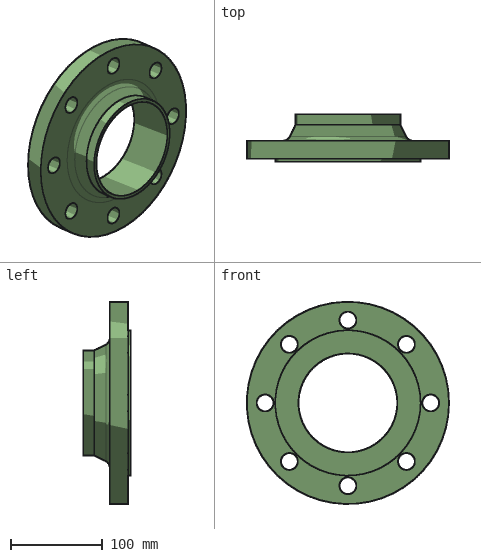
import cadquery as cq

flange_diameter = 220.0
flange_thickness = 20.0
overall_length = 52.0

face_diameter = 158.0
face_height = 3.0

pipe_diameter = 114.5
pipe_end_length = 11.9
hub_diameter = 131.0
hub_fillet = 8.0
bore_diameter = 107.1

bolt_count = 8
bolt_circle_diameter = 180.0
bolt_hole_diameter = 18.0

flange_front = face_height
flange_back = flange_front + flange_thickness
cone_end = overall_length - pipe_end_length


def make_body():
    """Revolve the flange, raised face and tapered neck about Y."""
    profile = (
        cq.Workplane("XY")
        .moveTo(0, 0)
        .lineTo(face_diameter / 2, 0)
        .lineTo(face_diameter / 2, flange_front)
        .lineTo(flange_diameter / 2, flange_front)
        .lineTo(flange_diameter / 2, flange_back)
        .lineTo(hub_diameter / 2, flange_back)
        .lineTo(pipe_diameter / 2, cone_end)
        .lineTo(pipe_diameter / 2, overall_length)
        .lineTo(0, overall_length)
        .close()
    )
    body = profile.revolve(360, (0, 0, 0), (0, 1, 0))
    root_radius = hub_diameter / 2
    tolerance = 0.2
    root_edge = cq.selectors.BoxSelector(
        (-root_radius - tolerance, flange_back - tolerance, -root_radius - tolerance),
        (root_radius + tolerance, flange_back + tolerance, root_radius + tolerance),
        boundingbox=True,
    )
    return body.edges(root_edge).fillet(hub_fillet)


def make_bore():
    return cq.Workplane("XZ").circle(bore_diameter / 2).extrude(-overall_length)


def make_bolt_holes():
    return (
        cq.Workplane("XZ")
        .polarArray(bolt_circle_diameter / 2, 0, 360, bolt_count)
        .circle(bolt_hole_diameter / 2)
        .extrude(-flange_back)
    )


result = make_body().cut(make_bore()).cut(make_bolt_holes())